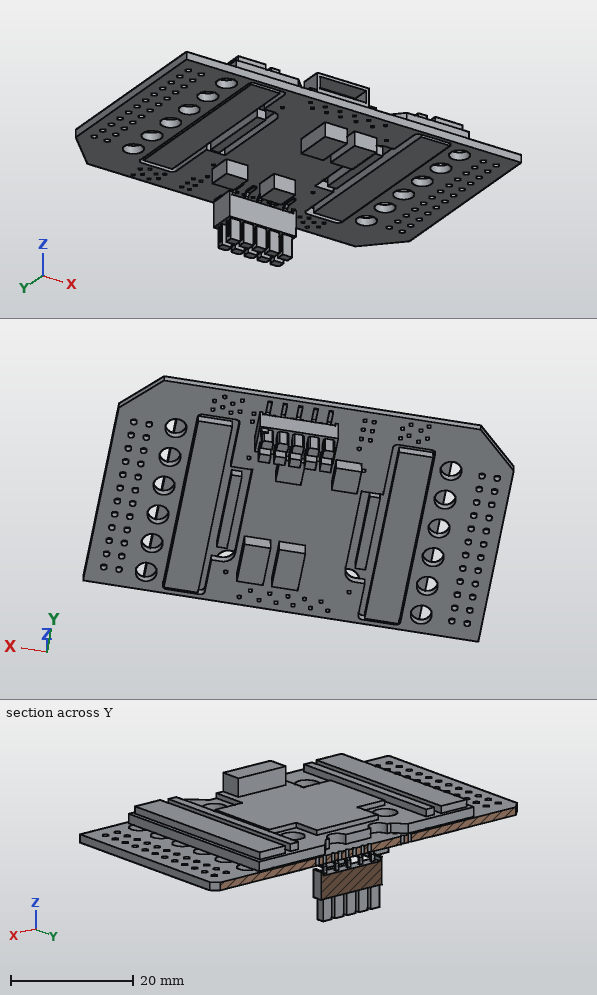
import cadquery as cq

BOARD_LENGTH = 65.8
BOARD_WIDTH = 39.6
BOARD_THICKNESS = 1.45
BOARD_LEFT_CORNER = 6.7
BOARD_RIGHT_CORNER = 6.4

MODULE_X = 0.1
MODULE_LENGTH = 45.8
MODULE_FRONT_Y = -19.2
MODULE_BACK_Y = 14.2
MODULE_THICKNESS = 1.65
MODULE_TOP_Z = BOARD_THICKNESS + MODULE_THICKNESS
BACK_NOTCH_OUTER = 8.9
BACK_NOTCH_INNER = 6.9
BACK_NOTCH_Y = 12.1
SCALLOP_X = 4.4
SCALLOP_DIAMETER = 3.5
FRONT_NOTCH_OUTER = 10.65
FRONT_NOTCH_INNER = 7.95
FRONT_NOTCH_Y = -16.45

MODULE_HOLE_DIAMETER = 4.0
MODULE_HOLE_SPACING_X = 19.75
MODULE_HOLE_SPACING_Y = 20.0
MODULE_HOLES_Y = -2.8

CROSS_HEIGHT = 0.85
CROSS_TOP_Z = MODULE_TOP_Z + CROSS_HEIGHT
CROSS_STEM_WIDTH = 13.0
CROSS_STEM_BACK_Y = 9.35
CROSS_ARM_LENGTH = 24.6
CROSS_ARM_FRONT_Y = -9.75
CROSS_ARM_BACK_Y = 4.1
SOCKET_WIDTH = 10.1
SOCKET_DEPTH = 3.95
SOCKET_HEIGHT = 3.2
SOCKET_WALL = 0.5
SOCKET_ROOF = 0.6
SOCKET_FLOOR = 0.4
SOCKET_CAVITY_DEPTH = 3.3

TOP_STRIP_HEIGHT = 1.25
WIDE_TOP_INNER = 16.65
WIDE_TOP_OUTER = 22.05
NARROW_TOP_INNER = 13.6
NARROW_TOP_OUTER = 15.3
WIDE_STRIP_FRONT_Y = -18.6
WIDE_STRIP_BACK_Y = 13.35
NARROW_STRIP_FRONT_Y = -18.15
NARROW_STRIP_BACK_Y = 13.15
BOTTOM_STRIP_PROTRUSION = 0.2
WIDE_BOTTOM_INNER = 13.9
WIDE_BOTTOM_OUTER = 19.55
NARROW_BOTTOM_INNER = 10.65
NARROW_BOTTOM_OUTER = 12.4
NARROW_BOTTOM_FRONT_Y = -9.55
NARROW_BOTTOM_BACK_Y = 4.3

WIDE_SLOT_INNER = 12.75
WIDE_SLOT_OUTER = 19.8
WIDE_SLOT_FRONT_Y = -19.0
WIDE_SLOT_BACK_Y = 14.6
WIDE_SLOT_RADIUS = 0.8
SIDE_SLOT_INNER = 9.15
SIDE_SLOT_OUTER = 14.5
SIDE_SLOT_FRONT_Y = -12.25
SIDE_SLOT_BACK_LEFT_Y = 4.9
SIDE_SLOT_BACK_RIGHT_Y = 5.7
SIDE_SLOT_RADIUS = 2.0

EDGE_HOLE_DIAMETER = 3.5
EDGE_HOLE_COUNT = 6
EDGE_HOLE_PITCH = 5.5
EDGE_HOLES_Y = -2.55

HEADER_DIAMETER = 1.0
HEADER_SPAN = 27.9
HEADER_ROWS = 12
HEADER_PITCH = HEADER_SPAN / (HEADER_ROWS - 1)
HEADER_COLUMNS = 2
HEADER_LEFT_X = -29.2
HEADER_RIGHT_X = 28.75
HEADER_Y = -2.75

VIA_DIAMETER = 0.6
LEFT_VIAS = [
    (-17.75, 18.9), (-16.6, 17.9), (-14.8, 18.7), (-13.55, 17.7),
    (-17.9, 16.6), (-16.6, 15.7), (-14.8, 16.6), (-13.55, 15.85),
]
RIGHT_VIAS = [
    (13.2, 18.3), (14.7, 17.45), (16.2, 18.5), (17.7, 17.45),
    (13.2, 16.2), (14.7, 15.7), (16.2, 16.5), (17.7, 15.8),
]
MODULE_HOLE_VIAS = [(-8.7, 8.75), (10.25, 7.8), (-10.4, -14.3), (10.2, -14.1)]
PAIR_VIAS_X = (-8.75, -7.25)
PAIR_VIAS_Y = (18.1, 16.4, 14.6)
LONE_VIA = (-7.25, 12.7)
CONNECTOR_VIAS_X = (-0.2, 1.25, 3.0, 4.55, 6.1, 7.55, 9.35, 10.9)
CONNECTOR_VIAS_Y = (16.2, 14.7)
FRONT_VIAS_INNER_X = (-6.2, -3.4, -0.65, 2.4, 5.6)
FRONT_VIAS_INNER_Y = -16.85
FRONT_VIAS_OUTER_X = (-7.55, -4.7, -1.8, 1.05, 3.9, 7.2)
FRONT_VIAS_OUTER_Y = -18.35

BLOCK_HEIGHT = 2.7
SQUARE_BLOCK_SIZE = 4.2
SQUARE_BLOCK_Y = 7.9
SQUARE_BLOCKS_X = (-6.0, 3.35)
LONG_BLOCK_WIDTH = 4.35
LONG_BLOCK_DEPTH = 7.1
LONG_BLOCK_Y = -10.4
LONG_BLOCKS_X = (0.4, 6.2)

CONNECTOR_X = 3.6
CONNECTOR_Y = 15.05
HOUSING_LENGTH = 13.0
HOUSING_WIDTH = 4.8
HOUSING_TOP_Z = -1.9
HOUSING_BOTTOM_Z = -6.05
EAR_HEIGHT = 0.65
EAR_WIDTH = 0.45
PIN_COUNT = 5
PIN_SPAN = 10.2
PIN_PITCH = PIN_SPAN / (PIN_COUNT - 1)
PIN_BOTTOM_Z = -9.9
PIN_WIDTH = 1.85
PIN_DEPTH = 1.45
PIN_CHAMFER = 0.25
SHOULDER_HEIGHT = 1.2
SHOULDER_PROTRUSION = 0.2
GROOVE_WIDTH = 0.6
GROOVE_DEPTH = 0.2
GROOVE_LENGTH = 2.95
LEAD_WIDTH = 0.65
LEAD_THICKNESS = 0.3
LEAD_REACH = 2.6
LEAD_BEND = 0.5


def box(x_range, y_range, z_range):
    """A box between two limits along each axis; the limits may come in either order."""
    x0, x1 = sorted(x_range)
    y0, y1 = sorted(y_range)
    z0, z1 = sorted(z_range)
    return cq.Workplane().box(x1 - x0, y1 - y0, z1 - z0, centered=False).translate((x0, y0, z0))


def centred(middle, size):
    return (middle - size / 2, middle + size / 2)


def side_range(side, inner, outer):
    """X limits of a feature on the left (side = -1) or right (side = 1) of the module centre."""
    return (MODULE_X + side * inner, MODULE_X + side * outer)


def drill(body, points, diameter, depth):
    """Drill holes up from Z = 0."""
    return body.cut(cq.Workplane().pushPoints(points).circle(diameter / 2).extrude(depth))


def grid(xs, ys):
    return [(x, y) for x in xs for y in ys]


def evenly_spaced(middle, count, pitch):
    return [middle + (i - (count - 1) / 2) * pitch for i in range(count)]


def via_points():
    return (
        LEFT_VIAS
        + RIGHT_VIAS
        + MODULE_HOLE_VIAS
        + [LONE_VIA]
        + grid(PAIR_VIAS_X, PAIR_VIAS_Y)
        + grid(CONNECTOR_VIAS_X, CONNECTOR_VIAS_Y)
        + grid(FRONT_VIAS_INNER_X, [FRONT_VIAS_INNER_Y])
        + grid(FRONT_VIAS_OUTER_X, [FRONT_VIAS_OUTER_Y])
    )


def make_board():
    board = cq.Workplane().box(BOARD_LENGTH, BOARD_WIDTH, BOARD_THICKNESS, centered=(True, True, False))
    board = board.edges("|Z and >Y and <X").chamfer(BOARD_LEFT_CORNER)
    board = board.edges("|Z and >X and >Y").chamfer(BOARD_RIGHT_CORNER)

    through = (0, BOARD_THICKNESS)
    for side, side_slot_back in ((-1, SIDE_SLOT_BACK_LEFT_Y), (1, SIDE_SLOT_BACK_RIGHT_Y)):
        wide_x = side_range(side, WIDE_SLOT_INNER, WIDE_SLOT_OUTER)
        wide_slot = box(wide_x, (WIDE_SLOT_FRONT_Y, WIDE_SLOT_BACK_Y), through)
        side_x = side_range(side, SIDE_SLOT_INNER, SIDE_SLOT_OUTER)
        side_slot = box(side_x, (SIDE_SLOT_FRONT_Y, side_slot_back), through)
        board = board.cut(wide_slot.edges("|Z").fillet(WIDE_SLOT_RADIUS))
        board = board.cut(side_slot.edges("|Z and <Y").fillet(SIDE_SLOT_RADIUS))

    edge_hole_x = centred(MODULE_X, MODULE_LENGTH)
    edge_hole_y = evenly_spaced(EDGE_HOLES_Y, EDGE_HOLE_COUNT, EDGE_HOLE_PITCH)
    board = drill(board, grid(edge_hole_x, edge_hole_y), EDGE_HOLE_DIAMETER, BOARD_THICKNESS)
    header_y = evenly_spaced(HEADER_Y, HEADER_ROWS, HEADER_PITCH)
    for header_x in (HEADER_LEFT_X, HEADER_RIGHT_X):
        columns_x = evenly_spaced(header_x, HEADER_COLUMNS, HEADER_PITCH)
        board = drill(board, grid(columns_x, header_y), HEADER_DIAMETER, BOARD_THICKNESS)
    return drill(board, via_points(), VIA_DIAMETER, BOARD_THICKNESS)


def module_plate():
    half = MODULE_LENGTH / 2
    outline = [
        (-half, MODULE_FRONT_Y),
        (-FRONT_NOTCH_OUTER, MODULE_FRONT_Y),
        (-FRONT_NOTCH_INNER, FRONT_NOTCH_Y),
        (FRONT_NOTCH_INNER, FRONT_NOTCH_Y),
        (FRONT_NOTCH_OUTER, MODULE_FRONT_Y),
        (half, MODULE_FRONT_Y),
        (half, MODULE_BACK_Y),
        (BACK_NOTCH_OUTER, MODULE_BACK_Y),
        (BACK_NOTCH_INNER, BACK_NOTCH_Y),
        (-BACK_NOTCH_INNER, BACK_NOTCH_Y),
        (-BACK_NOTCH_OUTER, MODULE_BACK_Y),
        (-half, MODULE_BACK_Y),
    ]
    plate = cq.Workplane().polyline(outline).close().extrude(MODULE_THICKNESS)
    scallops = [(-SCALLOP_X, BACK_NOTCH_Y), (SCALLOP_X, BACK_NOTCH_Y)]
    plate = drill(plate, scallops, SCALLOP_DIAMETER, MODULE_THICKNESS)
    hole_x = centred(0, MODULE_HOLE_SPACING_X)
    hole_y = centred(MODULE_HOLES_Y, MODULE_HOLE_SPACING_Y)
    plate = drill(plate, grid(hole_x, hole_y), MODULE_HOLE_DIAMETER, MODULE_THICKNESS)
    return plate.translate((MODULE_X, 0, BOARD_THICKNESS))


def module_cross():
    cross_z = (MODULE_TOP_Z, CROSS_TOP_Z)
    stem = box(centred(MODULE_X, CROSS_STEM_WIDTH), (FRONT_NOTCH_Y, CROSS_STEM_BACK_Y), cross_z)
    arms = box(centred(MODULE_X, CROSS_ARM_LENGTH), (CROSS_ARM_FRONT_Y, CROSS_ARM_BACK_Y), cross_z)
    return stem.union(arms)


def module_socket():
    socket_top_z = CROSS_TOP_Z + SOCKET_HEIGHT
    shell = box(
        centred(MODULE_X, SOCKET_WIDTH),
        (FRONT_NOTCH_Y, FRONT_NOTCH_Y + SOCKET_DEPTH),
        (CROSS_TOP_Z, socket_top_z),
    )
    cavity = box(
        centred(MODULE_X, SOCKET_WIDTH - 2 * SOCKET_WALL),
        (FRONT_NOTCH_Y, FRONT_NOTCH_Y + SOCKET_CAVITY_DEPTH),
        (CROSS_TOP_Z + SOCKET_FLOOR, socket_top_z - SOCKET_ROOF),
    )
    return shell.cut(cavity)


def module_strips(side):
    """The two strips on top and the two strips underneath, on one side of the module."""
    top_z = (MODULE_TOP_Z, MODULE_TOP_Z + TOP_STRIP_HEIGHT)
    bottom_z = (-BOTTOM_STRIP_PROTRUSION, BOARD_THICKNESS)
    wide_y = (WIDE_STRIP_FRONT_Y, WIDE_STRIP_BACK_Y)
    narrow_y = (NARROW_STRIP_FRONT_Y, NARROW_STRIP_BACK_Y)
    narrow_bottom_y = (NARROW_BOTTOM_FRONT_Y, NARROW_BOTTOM_BACK_Y)
    return [
        box(side_range(side, WIDE_TOP_INNER, WIDE_TOP_OUTER), wide_y, top_z),
        box(side_range(side, NARROW_TOP_INNER, NARROW_TOP_OUTER), narrow_y, top_z),
        box(side_range(side, WIDE_BOTTOM_INNER, WIDE_BOTTOM_OUTER), wide_y, bottom_z),
        box(side_range(side, NARROW_BOTTOM_INNER, NARROW_BOTTOM_OUTER), narrow_bottom_y, bottom_z),
    ]


def make_module():
    module = module_plate().union(module_cross()).union(module_socket())
    for strip in module_strips(-1) + module_strips(1):
        module = module.union(strip)
    return module.clean()


def make_block(x, y, width, depth):
    return box(centred(x, width), centred(y, depth), (-BLOCK_HEIGHT, 0))


def connector_housing():
    x_range = centred(CONNECTOR_X, HOUSING_LENGTH)
    y_range = centred(CONNECTOR_Y, HOUSING_WIDTH)
    ear_top_z = HOUSING_TOP_Z + EAR_HEIGHT
    housing = box(x_range, y_range, (HOUSING_BOTTOM_Z, ear_top_z))
    between_ears = centred(CONNECTOR_X, HOUSING_LENGTH - 2 * EAR_WIDTH)
    return housing.cut(box(between_ears, y_range, (HOUSING_TOP_Z, ear_top_z)))


def connector_pin(x, y, side):
    """A rectangular pin with a groove down its -X face; the back row has chamfered outer edges."""
    x_range = centred(x, PIN_WIDTH)
    pin = box(x_range, centred(y, PIN_DEPTH), (PIN_BOTTOM_Z, HOUSING_BOTTOM_Z))
    if side > 0:
        pin = pin.edges("|Z and >Y").chamfer(PIN_CHAMFER)
    groove = box(
        (x_range[0], x_range[0] + GROOVE_DEPTH),
        centred(y, GROOVE_WIDTH),
        (HOUSING_BOTTOM_Z - GROOVE_LENGTH, HOUSING_BOTTOM_Z),
    )
    return pin.cut(groove)


def pin_shoulder():
    """A raised root on the +X and +Y sides of the last pin in the back row."""
    x = CONNECTOR_X + (PIN_COUNT - 1) / 2 * PIN_PITCH
    y = CONNECTOR_Y + PIN_PITCH / 2
    return box(
        (x, x + PIN_WIDTH / 2 + SHOULDER_PROTRUSION),
        (y, y + PIN_DEPTH / 2 + SHOULDER_PROTRUSION),
        (HOUSING_BOTTOM_Z - SHOULDER_HEIGHT, HOUSING_BOTTOM_Z),
    )


def connector_lead(x, y, side):
    """A bent lead: a foot against the board, a sloped bend and a stem into the housing."""
    half = LEAD_THICKNESS / 2
    profile = [
        (LEAD_REACH, 0),
        (LEAD_BEND, 0),
        (-half, -LEAD_BEND - half),
        (-half, HOUSING_TOP_Z),
        (half, HOUSING_TOP_Z),
        (half, -LEAD_BEND - LEAD_THICKNESS),
        (LEAD_BEND + half, -LEAD_THICKNESS),
        (LEAD_REACH, -LEAD_THICKNESS),
    ]
    points = [(side * outward, z) for outward, z in profile]
    lead = cq.Workplane("YZ").polyline(points).close().extrude(LEAD_WIDTH)
    return lead.translate((x - LEAD_WIDTH / 2, y, 0))


def make_connector():
    connector = connector_housing().union(pin_shoulder())
    for side in (-1, 1):
        row_y = CONNECTOR_Y + side * PIN_PITCH / 2
        for x in evenly_spaced(CONNECTOR_X, PIN_COUNT, PIN_PITCH):
            connector = connector.union(connector_pin(x, row_y, side))
            connector = connector.union(connector_lead(x, row_y, side))
    return connector


board = make_board()
module = make_module()
connector = make_connector()
square_blocks = [make_block(x, SQUARE_BLOCK_Y, SQUARE_BLOCK_SIZE, SQUARE_BLOCK_SIZE) for x in SQUARE_BLOCKS_X]
long_blocks = [make_block(x, LONG_BLOCK_Y, LONG_BLOCK_WIDTH, LONG_BLOCK_DEPTH) for x in LONG_BLOCKS_X]

bodies = [board, module, connector] + square_blocks + long_blocks
result = cq.Compound.makeCompound([body.val() for body in bodies])